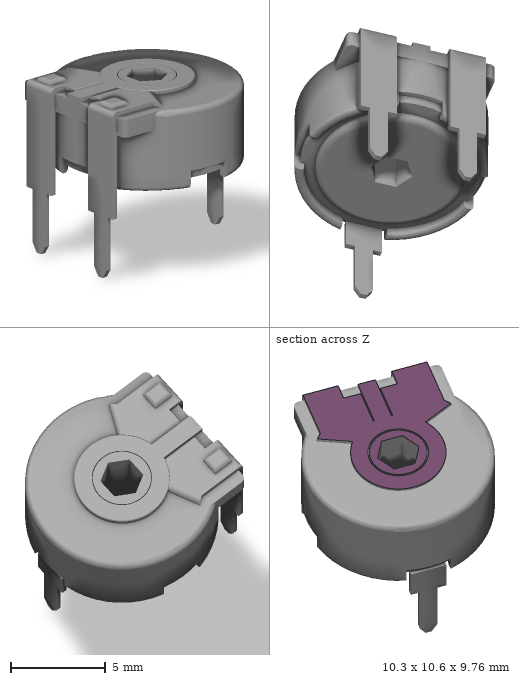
import cadquery as cq
import math

BODY_RADIUS = 5.15
SHOULDER_Z = 4.5
COVER_BASE_Z = 3.5
COVER_FILLET = 0.3
COVER_HALF_WIDTH = 4.15
COVER_CORNER_RADIUS = 0.3

SKIRT_INNER_RADIUS = 4.65
SKIRT_FILLET = 0.22
DISC_RADIUS = 4.05
DISC_BASE_Z = 0.1
DISC_FILLET = 0.35
GAP_TOP_Z = 0.5

NOTCH_WIDTH = 2.5
RECESS_TOP_Z = 1.0
RECESS_RADIUS = 4.85

SHEET = 0.3
TOP_Z = SHOULDER_Z + SHEET
RING_RADIUS = 2.55
RING_EDGE_CHAMFER = 0.04
RIB_WIDTH = 1.0
ROTOR_RADIUS = 1.6
ROTOR_GAP = 0.05
HEX_ACROSS_FLATS = 2.0

TERMINAL_PITCH = 5.0
TERMINAL_WIDTH = 2.0
BEND_RADIUS = 0.297
SEAT_Z = -1.2
PIN_WIDTH = 1.0
PIN_LENGTH = 3.5
TIP_WIDTH = 0.35
TIP_LENGTH = 0.5
CENTER_TERMINAL_Y = 4.65

PAD_CORNER_Y = -2.6
PAD_CORNER_OVERHANG = 0.31
PAD_CORNER_RISE = 0.35
PAD_SLOPE_DEG = 24.6
PAD_SLOPE_END_X = -1.6
PAD_RIB_SIDE_START_Y = -2.0
PAD_RIB_SIDE_END_Y = -4.5
EDGE_ROUND = 0.29

NUB_WIDTH = 1.05
NUB_LENGTH = 1.2
NUB_HEIGHT = 0.26
NUB_FILLET = 0.25


def block(x_min, x_max, y_min, y_max, z_min, z_max):
    size = (x_max - x_min, y_max - y_min, z_max - z_min)
    return cq.Workplane("XY").box(*size, centered=False).translate((x_min, y_min, z_min))


def cylinder(radius, z_min, z_max):
    return cq.Workplane("XY").workplane(offset=z_min).circle(radius).extrude(z_max - z_min)


def make_skirt():
    ring = cylinder(BODY_RADIUS, 0, GAP_TOP_Z).cut(cylinder(SKIRT_INNER_RADIUS, 0, GAP_TOP_Z))
    return ring.faces("<Z").edges().fillet(SKIRT_FILLET)


def make_notches():
    """Crossed bars that clear the skirt, kept outside the disc and, higher up, outside the wall."""
    half = NOTCH_WIDTH / 2
    reach = BODY_RADIUS + 1
    bar_x = block(-reach, reach, -half, half, 0, RECESS_TOP_Z)
    bar_y = block(-half, half, -reach, reach, 0, RECESS_TOP_Z)
    skirt_core = cylinder(SKIRT_INNER_RADIUS, 0, GAP_TOP_Z)
    recess_core = cylinder(RECESS_RADIUS, GAP_TOP_Z, RECESS_TOP_Z)
    return bar_x.union(bar_y).cut(skirt_core).cut(recess_core)


def make_housing():
    drum = cylinder(BODY_RADIUS, GAP_TOP_Z, SHOULDER_Z).faces(">Z").edges().fillet(COVER_FILLET)
    disc = cylinder(DISC_RADIUS, DISC_BASE_Z, GAP_TOP_Z).faces("<Z").edges().fillet(DISC_FILLET)

    flat_top_radius = BODY_RADIUS - COVER_FILLET
    front_start_y = -math.sqrt(flat_top_radius**2 - COVER_HALF_WIDTH**2)
    front = block(-COVER_HALF_WIDTH, COVER_HALF_WIDTH, -BODY_RADIUS, front_start_y, COVER_BASE_Z, SHOULDER_Z)
    front = front.edges("|Z and <Y").fillet(COVER_CORNER_RADIUS)
    return drum.union(front).union(disc).union(make_skirt()).cut(make_notches())


def make_ring_and_rib():
    ring = cylinder(RING_RADIUS, SHOULDER_Z, TOP_Z).faces(">Z").edges().chamfer(RING_EDGE_CHAMFER)
    rib = block(-RIB_WIDTH / 2, RIB_WIDTH / 2, -BODY_RADIUS, 0, SHOULDER_Z, TOP_Z)
    return ring.union(rib)


def make_blade(top_z):
    """Flat terminal in the XZ plane, SHEET thick towards +Y, with a tapered pin below."""
    pin_end_z = SEAT_Z - PIN_LENGTH
    right_side = [
        (TERMINAL_WIDTH / 2, top_z),
        (TERMINAL_WIDTH / 2, SEAT_Z),
        (PIN_WIDTH / 2, SEAT_Z),
        (PIN_WIDTH / 2, pin_end_z + TIP_LENGTH),
        (TIP_WIDTH / 2, pin_end_z),
    ]
    left_side = [(-x, z) for x, z in reversed(right_side)]
    return cq.Workplane("XZ").polyline(right_side + left_side).close().extrude(-SHEET)


def make_pad(outer_x, leg_inner_x):
    """Flat top of the left terminal, rounded along the sloped edge and beside the rib."""
    inner_x = -RIB_WIDTH / 2
    corner_x = outer_x - PAD_CORNER_OVERHANG
    corner_y = PAD_CORNER_Y + PAD_CORNER_RISE
    slope_end_y = corner_y + (PAD_SLOPE_END_X - corner_x) * math.tan(math.radians(PAD_SLOPE_DEG))
    outline = [
        (outer_x, -BODY_RADIUS),
        (outer_x, PAD_CORNER_Y),
        (corner_x, corner_y),
        (PAD_SLOPE_END_X, slope_end_y),
        (inner_x, PAD_RIB_SIDE_START_Y),
        (inner_x, PAD_RIB_SIDE_END_Y),
        (leg_inner_x, PAD_RIB_SIDE_END_Y),
        (leg_inner_x, -BODY_RADIUS),
    ]
    pad = cq.Workplane("XY").workplane(offset=SHOULDER_Z).polyline(outline).close().extrude(SHEET)
    slope_middle = ((corner_x + PAD_SLOPE_END_X) / 2, (corner_y + slope_end_y) / 2, TOP_Z)
    rib_side_middle = (inner_x, (PAD_RIB_SIDE_START_Y + PAD_RIB_SIDE_END_Y) / 2, TOP_Z)
    for point in (slope_middle, rib_side_middle):
        pad = pad.edges(cq.selectors.NearestToPointSelector(point)).fillet(EDGE_ROUND)

    return pad.cut(cylinder(RING_RADIUS, SHOULDER_Z, TOP_Z))


def make_nub(center_x):
    nub = block(
        center_x - NUB_WIDTH / 2,
        center_x + NUB_WIDTH / 2,
        -BODY_RADIUS,
        -BODY_RADIUS + NUB_LENGTH,
        TOP_Z,
        TOP_Z + NUB_HEIGHT,
    )
    return nub.faces(">Z").edges().fillet(NUB_FILLET)


def make_left_terminal():
    center_x = -TERMINAL_PITCH / 2
    outer_x = center_x - TERMINAL_WIDTH / 2
    leg_inner_x = center_x + TERMINAL_WIDTH / 2
    leg = make_blade(TOP_Z).translate((center_x, -BODY_RADIUS - SHEET, 0))
    leg = leg.faces(">Z").edges("<Y").fillet(BEND_RADIUS)
    return leg.union(make_pad(outer_x, leg_inner_x)).union(make_nub(center_x))


def make_rotor_cuts():
    groove = cylinder(ROTOR_RADIUS, SHOULDER_Z, TOP_Z).cut(
        cylinder(ROTOR_RADIUS - ROTOR_GAP, SHOULDER_Z, TOP_Z)
    )
    hex_diameter = HEX_ACROSS_FLATS / math.cos(math.pi / 6)
    socket = cq.Workplane("XY").polygon(6, hex_diameter).extrude(TOP_Z)
    return groove.union(socket)


left_terminal = make_left_terminal()
right_terminal = left_terminal.mirror("YZ")
center_terminal = make_blade(GAP_TOP_Z).translate((0, CENTER_TERMINAL_Y, 0))

result = make_housing().union(make_ring_and_rib())
for terminal in (left_terminal, right_terminal, center_terminal):
    result = result.union(terminal)
result = result.cut(make_rotor_cuts())